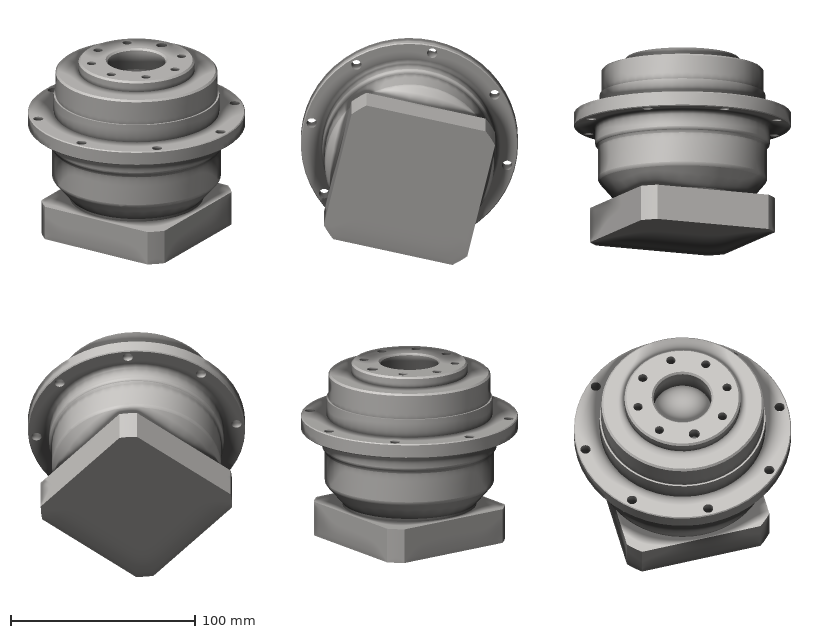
import cadquery as cq

import math

TOTAL_HEIGHT = 99.0
BASE_TOP = 19.0
NECK_TOP = 20.5
CONE_TOP = 31.5
STEP_BOTTOM = 49.7
FLANGE_BOTTOM = 61.0
FLANGE_TOP = 69.0
PILOT_TOP = 79.0
SHOULDER_TOP = 93.0

NECK_DIAMETER = 73.0
BODY_DIAMETER = 92.0
BAND_DIAMETER = 95.0
FLANGE_DIAMETER = 118.0
PILOT_DIAMETER = 90.0
SHOULDER_DIAMETER = 88.0
OUTPUT_DIAMETER = 63.0

BODY_FILLET = 3.0
STEP_FILLET = 2.0
FLANGE_ROOT_FILLET = 2.0
FLANGE_CHAMFER = 0.5
SHOULDER_CHAMFER = 1.0
OUTPUT_CHAMFER = 1.0

BASE_SIDE = 80.0
BASE_CORNER_DIAMETER = 104.0

BORE_DIAMETER = 31.5
BORE_DEPTH = 12.0
BORE_CHAMFER = 1.0

OUTPUT_HOLE_COUNT = 8
OUTPUT_BOLT_CIRCLE = 50.0
TAPPED_DIAMETER = 5.0
TAPPED_DEPTH = 10.0
DRILL_POINT_ANGLE = 118.0
DOWEL_DIAMETER = 6.0
DOWEL_DEPTH = 7.0
DOWEL_ANGLE = 90.0

FLANGE_HOLE_COUNT = 8
FLANGE_BOLT_CIRCLE = 109.0
FLANGE_HOLE_DIAMETER = 5.5

FULL_TURN = 360.0
EDGE_TOLERANCE = 0.1


def disc(diameter, bottom, top):
    """Cylinder on the Z axis between two heights."""
    return cq.Workplane("XY", origin=(0, 0, bottom)).circle(diameter / 2).extrude(top - bottom)


def on_circle(diameter, angle, height):
    """Point on a circle about the Z axis, at the given angle in degrees."""
    turn = math.radians(angle)
    return cq.Vector(diameter / 2 * math.cos(turn), diameter / 2 * math.sin(turn), height)


def make_base():
    square = cq.Workplane("XY").rect(BASE_SIDE, BASE_SIDE).extrude(BASE_TOP)
    return square.intersect(disc(BASE_CORNER_DIAMETER, 0, BASE_TOP))


def round_shoulder(shape, height, radius):
    """Fillet the circular edge lying at the given height."""
    reach = FLANGE_DIAMETER
    low_corner = (-reach, -reach, height - EDGE_TOLERANCE)
    high_corner = (reach, reach, height + EDGE_TOLERANCE)
    at_height = cq.selectors.BoxSelector(low_corner, high_corner)
    return shape.edges("%CIRCLE").edges(at_height).fillet(radius)


def make_housing():
    """Turned part from the base up to the underside of the flange."""
    step_top = STEP_BOTTOM + (BAND_DIAMETER - BODY_DIAMETER) / 2
    outline = [
        (0, BASE_TOP),
        (NECK_DIAMETER / 2, BASE_TOP),
        (NECK_DIAMETER / 2, NECK_TOP),
        (BODY_DIAMETER / 2, CONE_TOP),
        (BODY_DIAMETER / 2, STEP_BOTTOM),
        (BAND_DIAMETER / 2, step_top),
        (BAND_DIAMETER / 2, FLANGE_BOTTOM),
        (0, FLANGE_BOTTOM),
    ]
    housing = cq.Workplane("XZ").polyline(outline).close().revolve(FULL_TURN, (0, 0), (0, 1))

    housing = round_shoulder(housing, CONE_TOP, BODY_FILLET)
    housing = round_shoulder(housing, STEP_BOTTOM, STEP_FILLET)
    return round_shoulder(housing, step_top, STEP_FILLET)


def make_flange_root():
    """Ring with a concave quarter-round between the band and the flange."""
    band_radius = BAND_DIAMETER / 2
    start = FLANGE_BOTTOM - FLANGE_ROOT_FILLET
    outer = band_radius + FLANGE_ROOT_FILLET
    inset = FLANGE_ROOT_FILLET * (1 - math.sqrt(0.5))
    return (
        cq.Workplane("XZ")
        .moveTo(0, start)
        .lineTo(band_radius, start)
        .threePointArc((band_radius + inset, FLANGE_BOTTOM - inset), (outer, FLANGE_BOTTOM))
        .lineTo(0, FLANGE_BOTTOM)
        .close()
        .revolve(FULL_TURN, (0, 0), (0, 1))
    )


def make_flange():
    return disc(FLANGE_DIAMETER, FLANGE_BOTTOM, FLANGE_TOP).edges().chamfer(FLANGE_CHAMFER)


def make_output_end():
    pilot = disc(PILOT_DIAMETER, FLANGE_TOP, PILOT_TOP)
    shoulder = disc(SHOULDER_DIAMETER, PILOT_TOP, SHOULDER_TOP).faces(">Z").chamfer(SHOULDER_CHAMFER)
    output = disc(OUTPUT_DIAMETER, SHOULDER_TOP, TOTAL_HEIGHT).faces(">Z").chamfer(OUTPUT_CHAMFER)
    return pilot.union(shoulder).union(output)


def make_bore():
    bore = disc(BORE_DIAMETER, TOTAL_HEIGHT - BORE_DEPTH, TOTAL_HEIGHT)
    rim = cq.Solid.makeCone(
        BORE_DIAMETER / 2,
        BORE_DIAMETER / 2 + BORE_CHAMFER,
        BORE_CHAMFER,
        cq.Vector(0, 0, TOTAL_HEIGHT - BORE_CHAMFER),
    )
    return bore.union(cq.Workplane(rim))


def make_tapped_hole(angle):
    """Blind hole in the output face with a conical drill point."""
    radius = TAPPED_DIAMETER / 2
    point_depth = radius / math.tan(math.radians(DRILL_POINT_ANGLE / 2))
    down = cq.Vector(0, 0, -1)
    mouth = on_circle(OUTPUT_BOLT_CIRCLE, angle, TOTAL_HEIGHT)
    hole = cq.Solid.makeCylinder(radius, TAPPED_DEPTH, mouth, down)
    point = cq.Solid.makeCone(radius, 0, point_depth, mouth + down * TAPPED_DEPTH, down)
    return cq.Workplane(hole).union(cq.Workplane(point))


def make_dowel_hole():
    bottom = on_circle(OUTPUT_BOLT_CIRCLE, DOWEL_ANGLE, TOTAL_HEIGHT - DOWEL_DEPTH)
    return cq.Workplane(cq.Solid.makeCylinder(DOWEL_DIAMETER / 2, DOWEL_DEPTH, bottom))


def make_flange_hole(angle):
    bottom = on_circle(FLANGE_BOLT_CIRCLE, angle, FLANGE_BOTTOM)
    thickness = FLANGE_TOP - FLANGE_BOTTOM
    return cq.Workplane(cq.Solid.makeCylinder(FLANGE_HOLE_DIAMETER / 2, thickness, bottom))


body = make_base()
for section in (make_housing(), make_flange_root(), make_flange(), make_output_end()):
    body = body.union(section)

body = body.cut(make_bore()).cut(make_dowel_hole())
for index in range(OUTPUT_HOLE_COUNT):
    hole_angle = index * FULL_TURN / OUTPUT_HOLE_COUNT
    if hole_angle != DOWEL_ANGLE:
        body = body.cut(make_tapped_hole(hole_angle))
for index in range(FLANGE_HOLE_COUNT):
    body = body.cut(make_flange_hole(index * FULL_TURN / FLANGE_HOLE_COUNT))

result = body